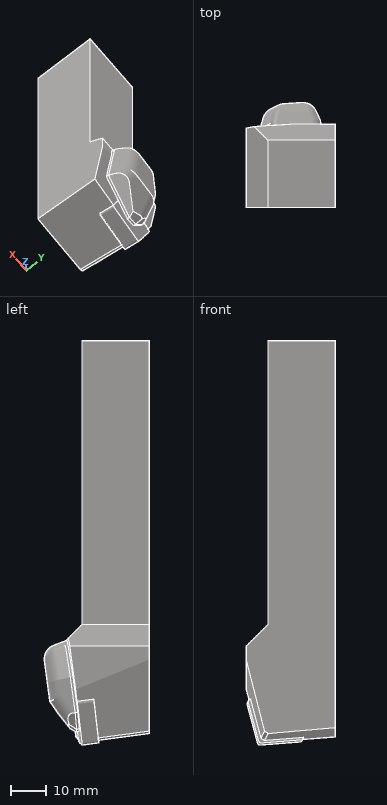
import cadquery as cq
import math

SHANK = 19.05
TOP_Z = 114.3

OVERALL_WIDTH = 25.16
HEAD_OVERHANG = OVERALL_WIDTH - SHANK
HEAD_CAP_Y = 23.55
RAMP_TOP_Z = 34.1
BLANK_BOTTOM_Z = -20.0

RAKE_SLOPE_X = 0.070
RAKE_SLOPE_Z = 0.134
RAKE_HEIGHT = 19.15

CORNER_ANGLE = 100.0
END_ANGLE = 5.0
INSCRIBED_CIRCLE = 12.7
INSERT_SIDE = INSCRIBED_CIRCLE / math.sin(math.radians(CORNER_ANGLE))
INSERT_THICKNESS = 4.76
NOSE_RADIUS = 0.79
INSERT_CORNER = (-0.08, -2.8)

SIDE_SETBACK = 0.88
END_SETBACK = 0.65
FLANK_CORNER_CHAMFER = 0.8
FLANK_REACH = 200.0

CLAMP_BACK = 29.8
CLAMP_LEFT = -2.2
CLAMP_RIGHT = 15.0
CLAMP_HEIGHT = 6.64
CLAMP_SINK = 1.0
BASE_BAND = 0.75
SIDE_DRAFT = 20.0
BACK_DRAFT = 13.0
EDGE_RADIUS = 4.4
CORNER_RADIUS = 2.2
SHOULDER_UP = 19.3
SHOULDER_ANGLE = 17.7

NOSE_TOP = 13.5
NOSE_END = 3.0
NOSE_ANGLE = 27.0
CHEEK_POINT = (9.3, CLAMP_LEFT)
CHEEK_LENGTH = 5.4
CHEEK_TURN = 46.0
TIP_ANGLE = -14.0
TIP_WIDTH = 3.0
TIP_DRAFT = 39.0
FACE_REACH = 40.0

MARGIN = 0.3

rake_plane = cq.Plane(
    origin=(0, RAKE_HEIGHT, 0),
    xDir=(0, RAKE_SLOPE_Z, 1),
    normal=(-RAKE_SLOPE_X, 1, -RAKE_SLOPE_Z),
)


def box(low_up, high_up, low_out, high_out):
    """Selector for the clamp edges centred between the given local limits."""
    return cq.selectors.BoxSelector((low_up, -OVERALL_WIDTH, low_out), (high_up, OVERALL_WIDTH, high_out))


def onto_rake_plane(body):
    """Move a body built flat on XY onto the rake plane."""
    return cq.Workplane(body.val().moved(cq.Location(rake_plane)))


def step_along(start, angle, distance):
    """Local point at a distance from start, the angle measured from across towards up."""
    up = start[0] + distance * math.sin(math.radians(angle))
    across = start[1] + distance * math.cos(math.radians(angle))
    return (up, across)


def rhombus(corner, side):
    """Local outline whose cutting corner is the given point."""
    side_angle = END_ANGLE + CORNER_ANGLE
    end_point = step_along(corner, END_ANGLE, side)
    far_point = step_along(end_point, side_angle, side)
    side_point = step_along(corner, side_angle, side)
    return cq.Workplane("XY").polyline([corner, end_point, far_point, side_point]).close()


def make_insert():
    plate = rhombus(INSERT_CORNER, INSERT_SIDE).extrude(-INSERT_THICKNESS)
    return onto_rake_plane(plate.edges("|Z").fillet(NOSE_RADIUS))


def make_head_blank():
    """Shank and head, bounded by the ramps on the -X and +Y sides."""
    front_outline = [
        (0, TOP_Z),
        (0, RAMP_TOP_Z),
        (-HEAD_OVERHANG, RAMP_TOP_Z - HEAD_OVERHANG),
        (-HEAD_OVERHANG, BLANK_BOTTOM_Z),
        (SHANK, BLANK_BOTTOM_Z),
        (SHANK, TOP_Z),
    ]
    ramp_rise = HEAD_CAP_Y - SHANK
    side_outline = [
        (0, TOP_Z),
        (SHANK, TOP_Z),
        (SHANK, RAMP_TOP_Z),
        (HEAD_CAP_Y, RAMP_TOP_Z - ramp_rise),
        (HEAD_CAP_Y, BLANK_BOTTOM_Z),
        (0, BLANK_BOTTOM_Z),
    ]
    front_prism = cq.Workplane("XZ").polyline(front_outline).close().extrude(-HEAD_CAP_Y)
    side_prism = cq.Workplane("YZ").polyline(side_outline).close().extrude(OVERALL_WIDTH, both=True)
    return front_prism.intersect(side_prism)


def make_flank_envelope():
    """Everything below the rake plane and inside the side and end flanks."""
    corner_sine = math.sin(math.radians(CORNER_ANGLE))
    shifted = step_along(INSERT_CORNER, END_ANGLE, SIDE_SETBACK / corner_sine)
    corner = step_along(shifted, END_ANGLE + CORNER_ANGLE, END_SETBACK / corner_sine)
    prism = rhombus(corner, FLANK_REACH).extrude(-FLANK_REACH)
    return onto_rake_plane(prism.edges("|Z").chamfer(FLANK_CORNER_CHAMFER))


def drafted_prism(outline, draft):
    """Prism with an upright band at its foot and drafted walls above it."""
    foot = cq.Workplane("XY", origin=(0, 0, -CLAMP_SINK)).polyline(outline).close()
    upper = cq.Workplane("XY", origin=(0, 0, BASE_BAND)).polyline(outline).close()
    return foot.extrude(CLAMP_SINK + BASE_BAND).union(upper.extrude(CLAMP_HEIGHT, taper=draft))


def make_rounded_block():
    """Drafted clamp body with its sloping nose and rounded edges, before the tip is shaped."""
    overrun = CLAMP_HEIGHT
    shoulder_run = (CLAMP_BACK + overrun - SHOULDER_UP) * math.tan(math.radians(SHOULDER_ANGLE))
    outline = [
        (CLAMP_BACK + overrun, CLAMP_LEFT + shoulder_run),
        (SHOULDER_UP, CLAMP_LEFT),
        (-overrun, CLAMP_LEFT),
        (-overrun, CLAMP_RIGHT),
        (CLAMP_BACK + overrun, CLAMP_RIGHT),
    ]
    back_slope = math.tan(math.radians(BACK_DRAFT))
    nose_drop = (NOSE_TOP - NOSE_END) * math.tan(math.radians(NOSE_ANGLE))
    profile = [
        (CLAMP_BACK + CLAMP_SINK * back_slope, -CLAMP_SINK),
        (CLAMP_BACK - CLAMP_HEIGHT * back_slope, CLAMP_HEIGHT),
        (NOSE_TOP, CLAMP_HEIGHT),
        (NOSE_END, CLAMP_HEIGHT - nose_drop),
        (NOSE_END, -CLAMP_SINK),
    ]
    profile_prism = cq.Workplane("XZ").polyline(profile).close().extrude(OVERALL_WIDTH, both=True)
    block = drafted_prism(outline, SIDE_DRAFT).intersect(profile_prism)

    rounded = block.edges(
        box(NOSE_TOP + MARGIN, CLAMP_BACK, CLAMP_HEIGHT - MARGIN, CLAMP_HEIGHT + MARGIN)
        + box(NOSE_END + MARGIN, NOSE_TOP - MARGIN, BASE_BAND + MARGIN, CLAMP_HEIGHT)
    ).fillet(EDGE_RADIUS)
    back_corners = box(
        CLAMP_BACK - BASE_BAND, CLAMP_BACK + BASE_BAND, MARGIN - CLAMP_SINK, CLAMP_HEIGHT - EDGE_RADIUS
    )
    return rounded.edges(back_corners).fillet(CORNER_RADIUS)


def behind_wall(point, angle, draft):
    """Broad block filling the far side of a drafted wall that runs through a local point."""
    start = step_along(point, angle, -FACE_REACH)
    end = step_along(point, angle, FACE_REACH)
    inward = angle + 90
    outline = [start, end, step_along(end, inward, FACE_REACH), step_along(start, inward, FACE_REACH)]
    return drafted_prism(outline, draft)


def make_clamp():
    """Rounded block whose nose is trimmed by two cheeks and a tip face between them."""
    tip_left = step_along(CHEEK_POINT, TIP_ANGLE - CHEEK_TURN, CHEEK_LENGTH)
    tip_right = step_along(tip_left, TIP_ANGLE, TIP_WIDTH)
    left_cheek = behind_wall(tip_left, TIP_ANGLE - CHEEK_TURN, SIDE_DRAFT)
    tip_face = behind_wall(tip_left, TIP_ANGLE, TIP_DRAFT)
    right_cheek = behind_wall(tip_right, TIP_ANGLE + CHEEK_TURN, SIDE_DRAFT)
    clamp = make_rounded_block()
    for keep in (left_cheek, tip_face, right_cheek):
        clamp = clamp.intersect(keep)
    return onto_rake_plane(clamp)


insert = make_insert()
holder = make_head_blank().intersect(make_flank_envelope()).union(make_clamp()).cut(insert)

result = cq.Compound.makeCompound([holder.val(), insert.val()])